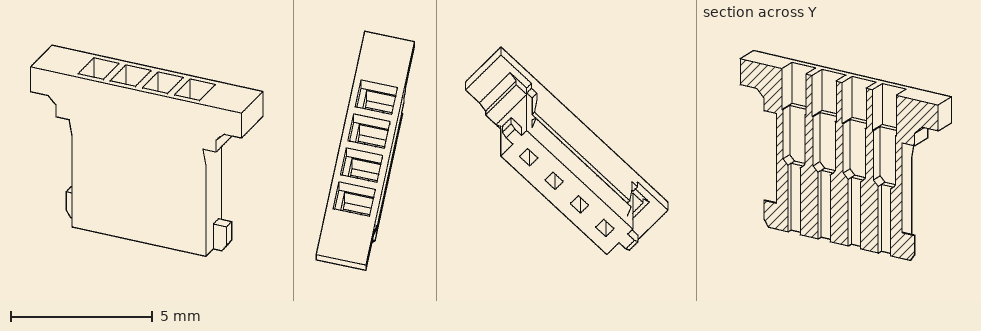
import cadquery as cq

flange_width = 8.22
flange_depth = 1.8
flange_height = 1.0

shoulder_width = 6.25
shoulder_bottom_drop = 1.78
corner_size = 0.305

total_height = 6.2
body_width = 5.22
body_depth = 1.315
taper_bottom_drop = 2.55

peg_height = 1.0
peg_depth = 0.44
peg_center_y = 0.18
peg_chamfer_x = 0.18
peg_chamfer_z = 0.26

cover_band_drop = 1.6
cover_straight_drop = 2.43
cover_bottom_drop = 3.64
cover_end_thickness = 0.12
cover_width = 4.685
ridge_top_drop = 4.275
ridge_peak_drop = 4.56
ridge_bottom_drop = 5.23
ridge_thickness = 0.2

cavity_count = 4
cavity_pitch = 1.25
mouth_width = 0.99
mouth_drop = 1.56
side_ledge = 0.04
front_ledge = 0.21
slot_width = 0.5
slot_depth = 0.41

flange_bottom = total_height - flange_height
shoulder_bottom = total_height - shoulder_bottom_drop
flange_front = -flange_depth / 2
flange_back = flange_depth / 2
body_front = -body_depth / 2
body_back = body_depth / 2


def side_profile(points, width):
    """Extrude a (drop from top, Y) outline across X, centred on the part."""
    outline = [(y, total_height - drop) for drop, y in points]
    return cq.Workplane("YZ").polyline(outline).close().extrude(width / 2, both=True)


def make_flange():
    return cq.Workplane("XY").box(
        flange_width, flange_depth, flange_height, centered=(True, True, False)
    ).translate((0, 0, flange_bottom))


def make_shoulder():
    half = shoulder_width / 2
    outer = half + corner_size
    corner_bottom = flange_bottom - corner_size
    return (
        cq.Workplane("XZ", origin=(0, body_back, 0))
        .moveTo(-outer, flange_bottom)
        .lineTo(-half, corner_bottom)
        .lineTo(-half, shoulder_bottom)
        .lineTo(half, shoulder_bottom)
        .lineTo(half, corner_bottom)
        .lineTo(outer, flange_bottom)
        .close()
        .extrude(body_back - flange_front)
    )


def make_body():
    """Body with its front face flaring out to meet the shoulder."""
    return side_profile(
        [
            (flange_height, body_back),
            (flange_height, flange_front),
            (shoulder_bottom_drop, flange_front),
            (taper_bottom_drop, body_front),
            (total_height, body_front),
            (total_height, body_back),
        ],
        body_width,
    )


def make_pegs():
    """Both pegs as one bar through the body, chamfered at its lower ends."""
    half = shoulder_width / 2
    return (
        cq.Workplane("XZ", origin=(0, peg_center_y, 0))
        .polyline(
            [
                (-half, peg_height),
                (-half, peg_chamfer_z),
                (-half + peg_chamfer_x, 0),
                (half - peg_chamfer_x, 0),
                (half, peg_chamfer_z),
                (half, peg_height),
            ]
        )
        .close()
        .extrude(peg_depth / 2, both=True)
    )


def make_back_cover():
    """Body-width band under the flange and a narrower cover that thins downward."""
    band = side_profile(
        [
            (flange_height, body_back),
            (flange_height, flange_back),
            (cover_band_drop, flange_back),
            (cover_band_drop, body_back),
        ],
        body_width,
    )
    cover = side_profile(
        [
            (flange_height, body_back),
            (flange_height, flange_back),
            (cover_straight_drop, flange_back),
            (cover_bottom_drop, body_back + cover_end_thickness),
            (cover_bottom_drop, body_back),
        ],
        cover_width,
    )
    return band.union(cover)


def make_latch_ridge():
    return side_profile(
        [
            (ridge_top_drop, body_back),
            (ridge_peak_drop, body_back + ridge_thickness),
            (ridge_bottom_drop, body_back),
        ],
        cover_width,
    )


def make_cavity():
    """Mouth, narrower chamber with 45 degree lower sides, then a slot through the bottom."""
    mouth_bottom = total_height - mouth_drop
    mouth = cq.Workplane("XY").box(
        mouth_width, body_depth, mouth_drop, centered=(True, True, False)
    ).translate((0, 0, mouth_bottom))

    chamber_half = mouth_width / 2 - side_ledge
    slot_half = slot_width / 2
    chamber_bottom = total_height - cover_bottom_drop
    slope_top = chamber_bottom + chamber_half - slot_half
    chamber = (
        cq.Workplane("XZ", origin=(0, body_back, 0))
        .polyline(
            [
                (-chamber_half, mouth_bottom),
                (-chamber_half, slope_top),
                (-slot_half, chamber_bottom),
                (slot_half, chamber_bottom),
                (chamber_half, slope_top),
                (chamber_half, mouth_bottom),
            ]
        )
        .close()
        .extrude(body_depth - front_ledge)
    )

    slot = cq.Workplane("XY").box(
        slot_width, slot_depth, mouth_bottom, centered=(True, True, False)
    )
    return mouth.union(chamber).union(slot)


result = (
    make_flange()
    .union(make_shoulder())
    .union(make_body())
    .union(make_pegs())
    .union(make_back_cover())
    .union(make_latch_ridge())
)
cavity = make_cavity()
for index in range(cavity_count):
    cavity_x = (index - (cavity_count - 1) / 2) * cavity_pitch
    result = result.cut(cavity.translate((cavity_x, 0, 0)))